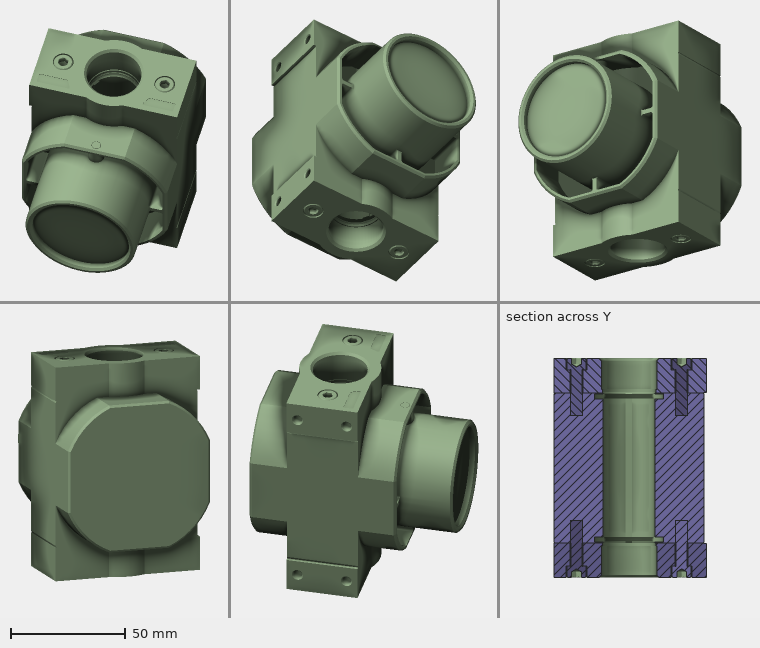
import cadquery as cq
import math

overall_height = 96.0
housing_side = 66.0
half_side = housing_side / 2
corner_circle = 71.6
end_chamfer = 1.0

band_half_depth = 16.0
band_edge_height = 1.0
band_edge_width = 0.4

wall = 2.0
pocket_floor_y = -band_half_depth
inner_boss_diameter = 39.0
port_boss_diameter = 36.0
rib_thickness = 2.0
rib_fillet = 1.0

sleeve_diameter = 50.0
sleeve_front_y = -56.4
sleeve_bore = 44.0
sleeve_chamfer = 1.0
plug_recess = 3.5

pin_y = -29.3
pin_diameter = 3.8
pin_hole = 4.1
pin_boss_diameter = 7.0

passage_diameter = 22.5
groove_diameter = 30.0
groove_lip = 0.7
groove_height = 2.0
tab_angles = (30, 150, 270)
tab_width = 3.0
tab_height = 0.7

plate_left = -34.1
plate_right = half_side
plate_top = overall_height / 2
port_diameter = 24.1
port_chamfer = 1.1
port_exit_diameter = 23.2
port_exit_height = 1.3
side_hole_diameter = 4.1
side_hole_mouth = 5.0
side_hole_depth = 10.0
side_hole_y = 11.0
side_hole_z = 40.0
tip_slope = math.tan(math.radians(31))
drill_tip_height = side_hole_diameter / 2 * tip_slope

label_margin = 2.6
label_tip_x = 16.2
label_slant = 2.2
label_back_y = -9.0
label_front_y = -13.4
label_depth = 0.2
label_fillet = 0.6

screw_x = 23.0
head_diameter = 8.5
head_height = 5.0
head_chamfer = 0.5
head_bore = 9.0
shank_diameter = 5.0
shank_hole = 5.5
thread_depth = 10.0
socket_width = 4.0
socket_depth = 2.5
socket_mouth = 4.6
socket_tip_height = socket_width / 2 * tip_slope


def box(x0, x1, y0, y1, z0, z1):
    return cq.Workplane("XY").box(x1 - x0, y1 - y0, z1 - z0, centered=False).translate((x0, y0, z0))


def cylinder_z(diameter, z0, z1, x=0, y=0):
    return cq.Workplane("XY", origin=(x, y, z0)).circle(diameter / 2).extrude(z1 - z0)


def cylinder_y(diameter, y0, y1):
    return cq.Workplane("XZ", origin=(0, y1, 0)).circle(diameter / 2).extrude(y1 - y0)


def cone(diameter, height, point, axis):
    """Pointed cone with its base centred on the point."""
    return cq.Workplane(cq.Solid.makeCone(diameter / 2, 0, height, cq.Vector(*point), cq.Vector(*axis)))


def mirrored(shape):
    """The same shape at the opposite end in Z."""
    return shape.mirror("XY")


def rounded_block(inset, y0, y1):
    """Square prism along Y whose corners are cut by a concentric circle."""
    half = half_side - inset
    block = box(-half, half, y0, y1, -half, half)
    return block.intersect(cylinder_y(corner_circle - 2 * inset, y0, y1))


def make_band():
    """Full-width middle of the housing with its four outer edges bevelled."""
    upper_z = half_side - band_edge_height
    upper_x = half_side - band_edge_width
    outline = [
        (half_side, -upper_z),
        (half_side, upper_z),
        (upper_x, half_side),
        (-upper_x, half_side),
        (-half_side, upper_z),
        (-half_side, -upper_z),
        (-upper_x, -half_side),
        (upper_x, -half_side),
    ]
    sketch = cq.Workplane("XZ", origin=(0, band_half_depth, 0)).polyline(outline)
    return sketch.close().extrude(2 * band_half_depth)


def make_pocket():
    """Space between the outer wall and the sleeve, parted by three ribs."""
    pocket = rounded_block(wall, -half_side, pocket_floor_y)
    pocket = pocket.cut(cylinder_y(sleeve_diameter, -half_side, pocket_floor_y))
    half_rib = rib_thickness / 2
    side_ribs = box(-half_side, half_side, -half_side, pocket_floor_y, -half_rib, half_rib)
    lower_rib = box(-half_rib, half_rib, -half_side, pocket_floor_y, -half_side, 0)
    pocket = pocket.cut(side_ribs).cut(lower_rib)
    rib_corners = (
        cq.selectors.BoxSelector((-half_side, -half_side, -rib_thickness), (half_side, 0, rib_thickness))
        + cq.selectors.BoxSelector((-rib_thickness, -half_side, -half_side), (rib_thickness, 0, 0))
    )
    pocket = pocket.edges("|Y").edges(rib_corners).fillet(rib_fillet)
    return pocket.cut(cylinder_z(inner_boss_diameter, -half_side, half_side))


def make_passage():
    passage = cylinder_z(passage_diameter, -half_side, half_side)
    tab_tip = passage_diameter / 2 - tab_height
    half_tab = tab_width / 2
    for angle in tab_angles:
        tab = box(tab_tip, passage_diameter, -half_tab, half_tab, -half_side, half_side)
        passage = passage.cut(tab.rotate((0, 0, 0), (0, 0, 1), angle))
    mouth_radius = port_exit_diameter / 2
    mouth = cone(port_exit_diameter, mouth_radius, (0, 0, half_side), (0, 0, -1))
    groove_top = half_side - groove_lip
    groove = cylinder_z(groove_diameter, groove_top - groove_height, groove_top)
    for cutter in (mouth, groove):
        passage = passage.union(cutter).union(mirrored(cutter))
    return passage


def make_housing():
    body = rounded_block(0, -half_side, half_side).faces("<Y or >Y").chamfer(end_chamfer)
    body = body.union(make_band())
    body = body.union(cylinder_z(port_boss_diameter, -half_side, half_side))
    body = body.cut(make_pocket())
    sleeve = cylinder_y(sleeve_diameter, sleeve_front_y, pocket_floor_y)
    sleeve = sleeve.faces("<Y").chamfer(sleeve_chamfer)
    body = body.union(sleeve)
    body = body.union(cylinder_z(pin_boss_diameter, 0, half_side - wall / 2, y=pin_y))
    bore = cylinder_y(sleeve_bore, sleeve_front_y, pocket_floor_y)
    mouth = sleeve_bore + 2 * sleeve_chamfer
    bore = bore.union(cone(mouth, mouth / 2, (0, sleeve_front_y, 0), (0, 1, 0)))
    body = body.cut(bore)
    body = body.cut(cylinder_z(pin_hole, 0, half_side, y=pin_y))
    body = body.cut(make_passage())
    for x in (-screw_x, screw_x):
        screw_hole = cylinder_z(shank_diameter, half_side - thread_depth, half_side, x)
        body = body.cut(screw_hole).cut(mirrored(screw_hole))
    return body


def make_plug():
    return cylinder_y(sleeve_bore, sleeve_front_y + plug_recess, pocket_floor_y)


def make_pin():
    return cylinder_z(pin_diameter, sleeve_bore / 2, half_side, y=pin_y)


def make_side_hole(y):
    hole = cq.Workplane("YZ", origin=(plate_left, y, side_hole_z))
    hole = hole.circle(side_hole_diameter / 2).extrude(side_hole_depth)
    tip_x = plate_left + side_hole_depth
    hole = hole.union(cone(side_hole_diameter, drill_tip_height, (tip_x, y, side_hole_z), (1, 0, 0)))
    return hole.union(cone(side_hole_mouth, side_hole_mouth / 2, (plate_left, y, side_hole_z), (1, 0, 0)))


def make_label(outer_x):
    side = math.copysign(1, outer_x)
    label = cq.Workplane("XY", origin=(0, 0, plate_top - label_depth)).polyline([
        (outer_x, label_back_y),
        (side * (label_tip_x + label_slant), label_back_y),
        (side * label_tip_x, label_front_y),
        (outer_x, label_front_y),
    ]).close().extrude(label_depth)
    return label.edges("|Z").fillet(label_fillet)


def make_plate():
    """End plate on top of the housing, without labels."""
    plate = box(plate_left, plate_right, -band_half_depth, band_half_depth, half_side, plate_top)
    plate = plate.union(cylinder_z(port_boss_diameter, half_side, plate_top))
    plate = plate.cut(cylinder_z(port_diameter, half_side + port_exit_height, plate_top))
    plate = plate.cut(cylinder_z(port_exit_diameter, half_side, plate_top))
    mouth = port_diameter + 2 * port_chamfer
    plate = plate.cut(cone(mouth, mouth / 2, (0, 0, plate_top), (0, 0, -1)))
    for x in (-screw_x, screw_x):
        plate = plate.cut(cylinder_z(shank_hole, half_side, plate_top, x))
        plate = plate.cut(cylinder_z(head_bore, plate_top - head_height, plate_top, x))
    for y in (-side_hole_y, side_hole_y):
        plate = plate.cut(make_side_hole(y))
    return plate


def make_screw(x):
    """Socket head screw of the top plate."""
    head = cylinder_z(head_diameter, plate_top - head_height, plate_top, x)
    head = head.faces(">Z").edges().chamfer(head_chamfer)
    screw = head.union(cylinder_z(shank_diameter, half_side - thread_depth, plate_top - head_height, x))
    socket = cq.Workplane("XY", origin=(x, 0, plate_top - socket_depth))
    socket = socket.polygon(6, socket_width, circumscribed=True).extrude(socket_depth)
    tip = cone(socket_width, socket_tip_height, (x, 0, plate_top - socket_depth), (0, 0, -1))
    mouth = cone(socket_mouth, socket_mouth / 2, (x, 0, plate_top), (0, 0, -1))
    return screw.cut(socket).cut(tip).cut(mouth)


housing = make_housing()
plug = make_plug()
pin = make_pin()
plain_plate = make_plate()
bottom_plate = mirrored(plain_plate)
top_plate = plain_plate
for label_x in (plate_left + label_margin, plate_right - label_margin):
    top_plate = top_plate.cut(make_label(label_x))
screws = []
for x in (-screw_x, screw_x):
    top_screw = make_screw(x)
    screws += [top_screw.val(), mirrored(top_screw).val()]

result = cq.Compound.makeCompound(
    [housing.val(), plug.val(), pin.val(), top_plate.val(), bottom_plate.val(), *screws])